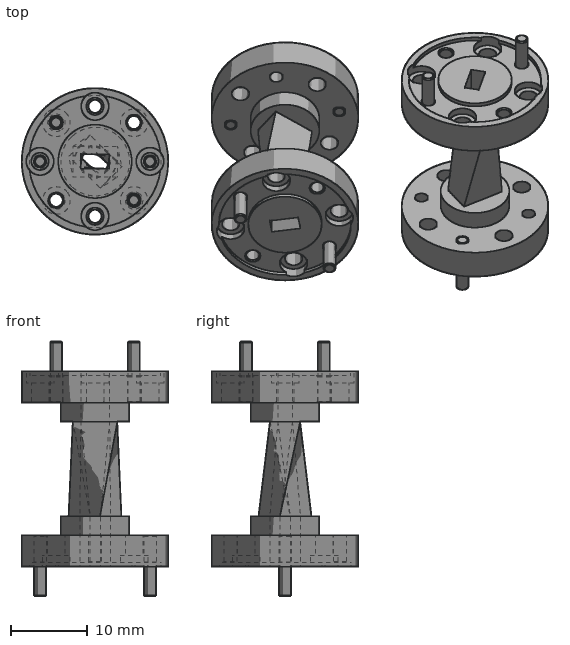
import cadquery as cq


OVERALL_LENGTH = 33.15
MATING_LENGTH = 25.4

FLANGE_DIAMETER = 19.05
FLANGE_THICKNESS = 4.08
HUB_DIAMETER = 8.92
HUB_LENGTH = 2.5
RECESS_DIAMETER = 17.17
RECESS_DEPTH = 0.53
LAND_DIAMETER = 9.55

BOLT_CIRCLE_DIAMETER = 14.3
SCREW_ANGLES = (0, 90, 180, 270)
PIN_ANGLES = (135, 315)
SOCKET_ANGLES = (45, 225)
SCREW_DIAMETER = 2.25
SCREW_HEAD_DIAMETER = 3.58
SCREW_HEAD_DEPTH = 1.5
SOCKET_DIAMETER = 1.7
PIN_HOLE_CHAMFER = 0.1
SOCKET_CHAMFER = 0.15

PIN_DIAMETER = 1.6
PIN_CHAMFER = 0.15

BORE_WIDTH = 3.75
BORE_HEIGHT = 1.9
WALL = 1.03
TWIST = 45

rim_z = MATING_LENGTH / 2
recess_z = rim_z - RECESS_DEPTH
back_z = rim_z - FLANGE_THICKNESS
hub_z = back_z - HUB_LENGTH
tip_z = OVERALL_LENGTH / 2


def at_height(z):
    return cq.Workplane("XY").workplane(offset=z)


def disc(diameter, bottom, top):
    """Cylinder on the Z axis between two heights."""
    return at_height(bottom).circle(diameter / 2).extrude(top - bottom)


def on_bolt_circle(shape, angles):
    """Copies of a shape that stands on the Z axis, moved out to the bolt circle."""
    moved = shape.translate((BOLT_CIRCLE_DIAMETER / 2, 0, 0))
    return [moved.rotate((0, 0, 0), (0, 0, 1), angle) for angle in angles]


def cut_all(body, tools):
    for tool in tools:
        body = body.cut(tool)
    return body


def to_lower_end(shape):
    """Flip an upper-end shape about the X axis and turn it to the lower end of the twist."""
    return shape.rotate((0, 0, 0), (1, 0, 0), 180).rotate((0, 0, 0), (0, 0, 1), -TWIST)


def screw_hole():
    """Cutter for a counterbored screw hole."""
    head = disc(SCREW_HEAD_DIAMETER, rim_z - SCREW_HEAD_DEPTH, rim_z)
    return disc(SCREW_DIAMETER, back_z, rim_z).union(head)


def chamfered_hole(diameter, chamfer):
    """Cutter for a hole through the flange, chamfered where it opens into the recess."""
    mouth = at_height(recess_z - chamfer).circle(diameter / 2)
    mouth = mouth.workplane(offset=chamfer).circle(diameter / 2 + chamfer).loft()
    return disc(diameter, back_z, recess_z).union(mouth)


def make_flange():
    """Upper flange with its hub, recessed mating face and bolt-circle holes."""
    flange = disc(FLANGE_DIAMETER, back_z, rim_z).union(disc(HUB_DIAMETER, hub_z, back_z))
    flange = flange.cut(disc(RECESS_DIAMETER, recess_z, rim_z).cut(disc(LAND_DIAMETER, recess_z, rim_z)))
    pin_hole = chamfered_hole(PIN_DIAMETER, PIN_HOLE_CHAMFER)
    socket = chamfered_hole(SOCKET_DIAMETER, SOCKET_CHAMFER)
    flange = cut_all(flange, on_bolt_circle(screw_hole(), SCREW_ANGLES))
    flange = cut_all(flange, on_bolt_circle(pin_hole, PIN_ANGLES))
    return cut_all(flange, on_bolt_circle(socket, SOCKET_ANGLES))


def make_twist(width, height):
    """Straight-edged bar between the hubs, its lower end turned back by the twist angle."""
    lower = at_height(-hub_z).transformed(rotate=(0, 0, -TWIST)).rect(width, height).wires().val()
    upper = at_height(hub_z).rect(width, height).wires().val()
    return cq.Workplane(cq.Solid.makeLoft([lower, upper], True))


def make_waveguide():
    """Both flanges and the twisted tube as one solid with a bore right through."""
    flange = make_flange()
    tube = make_twist(BORE_WIDTH + 2 * WALL, BORE_HEIGHT + 2 * WALL)
    flange_bore = at_height(hub_z).rect(BORE_WIDTH, BORE_HEIGHT).extrude(rim_z - hub_z)
    waveguide = tube.union(flange).union(to_lower_end(flange))
    waveguide = waveguide.cut(flange_bore).cut(to_lower_end(flange_bore))
    return waveguide.cut(make_twist(BORE_WIDTH, BORE_HEIGHT))


def make_pins():
    """The two chamfered pins of the upper flange, flush with the back of the flange."""
    pin = disc(PIN_DIAMETER, back_z, tip_z).edges("%CIRCLE").chamfer(PIN_CHAMFER)
    return on_bolt_circle(pin, PIN_ANGLES)


waveguide = make_waveguide()
upper_pins = make_pins()
lower_pins = [to_lower_end(pin) for pin in upper_pins]
pins = upper_pins + lower_pins

result = cq.Compound.makeCompound([waveguide.val(), *[pin.val() for pin in pins]])